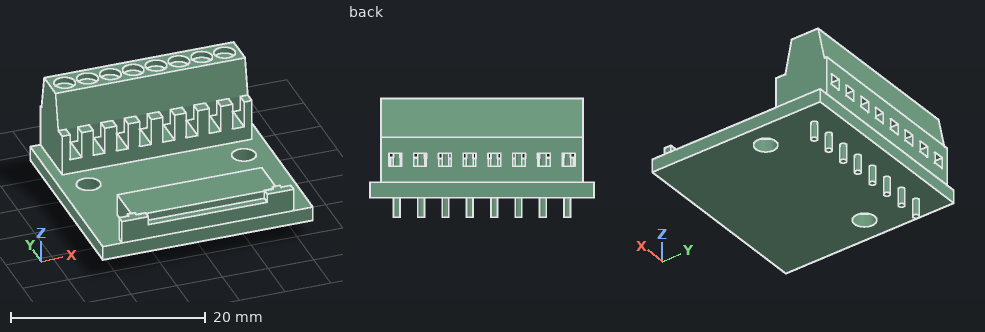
import cadquery as cq


BOARD_WIDTH = 23.0
BOARD_DEPTH = 21.5
BOARD_THICKNESS = 1.6
MOUNT_HOLE_DIAMETER = 2.5
MOUNT_HOLE_SPACING = 17.0
MOUNT_HOLE_Y = 12.3

POLE_COUNT = 8
BLOCK_WIDTH = 20.75
BLOCK_DEPTH = 6.5
BLOCK_HEIGHT = 8.6
SHOULDER_HEIGHT = 4.6
TAPER_BOTTOM_DEPTH = 5.0
TAPER_TOP_DEPTH = 3.4
BACK_LEDGE_DEPTH = 0.3
TAPER_CENTRE_Y = BOARD_DEPTH - BACK_LEDGE_DEPTH - TAPER_BOTTOM_DEPTH / 2
TAPER_FRONT_Y = TAPER_CENTRE_Y - TAPER_BOTTOM_DEPTH / 2
BLOCK_FRONT_Y = BOARD_DEPTH - BLOCK_DEPTH

SLOT_PITCH = 2.54
SLOT_WIDTH = SLOT_PITCH / 2
SLOT_FLOOR_HEIGHT = 1.65
WINDOW_TOP_HEIGHT = 2.95

PIN_PITCH = 2.5
PIN_DIAMETER = 0.7
PIN_PROJECTION = 2.0
WELL_DIAMETER = 2.2
WELL_DEPTH = 0.7

HOUSING_WIDTH = 15.8
HOUSING_HEIGHT = 2.45
HOUSING_BACK_Y = 5.4
LATCH_WIDTH = 18.8
LATCH_THICKNESS = 0.85
LATCH_HEIGHT = 2.55
CABLE_NOTCH_WIDTH = 13.0
CABLE_NOTCH_FLOOR = 1.6
LUG_WIDTH = 0.85
LUG_PROJECTION = 0.4
LUG_OVERLAP = 0.4
LUG_CENTRE_X = HOUSING_WIDTH / 2 - LUG_OVERLAP + LUG_WIDTH / 2


def box(width, y_front, y_back, z_bottom, z_top, x_centre=0.0):
    """Box centred on x_centre, between the given Y and Z limits."""
    size = (width, y_back - y_front, z_top - z_bottom)
    block_at_origin = cq.Workplane("XY").box(*size, centered=(True, False, False))
    return block_at_origin.translate((x_centre, y_front, z_bottom))


def row_positions(pitch):
    """X positions of one feature per pole, centred on the board."""
    return [(i - (POLE_COUNT - 1) / 2) * pitch for i in range(POLE_COUNT)]


def pin_row_cylinders(diameter, z_bottom, z_top):
    """One upright cylinder per pole along the pin row."""
    centres = [(x, TAPER_CENTRE_Y) for x in row_positions(PIN_PITCH)]
    plane = cq.Workplane("XY").workplane(offset=z_bottom)
    return plane.pushPoints(centres).circle(diameter / 2).extrude(z_top - z_bottom)


def make_board():
    board = box(BOARD_WIDTH, 0, BOARD_DEPTH, 0, BOARD_THICKNESS)
    mount_centres = [(side * MOUNT_HOLE_SPACING / 2, MOUNT_HOLE_Y) for side in (-1, 1)]
    mount_circles = cq.Workplane("XY").pushPoints(mount_centres).circle(MOUNT_HOLE_DIAMETER / 2)
    mount_holes = mount_circles.extrude(BOARD_THICKNESS)
    pin_holes = pin_row_cylinders(PIN_DIAMETER, 0, BOARD_THICKNESS)
    return board.cut(mount_holes).cut(pin_holes)


def make_terminal_block():
    shoulder_z = BOARD_THICKNESS + SHOULDER_HEIGHT
    top_z = BOARD_THICKNESS + BLOCK_HEIGHT
    slot_floor_z = BOARD_THICKNESS + SLOT_FLOOR_HEIGHT
    window_top_z = BOARD_THICKNESS + WINDOW_TOP_HEIGHT

    profile = [
        (BLOCK_FRONT_Y, BOARD_THICKNESS),
        (BLOCK_FRONT_Y, shoulder_z),
        (TAPER_FRONT_Y, shoulder_z),
        (TAPER_CENTRE_Y - TAPER_TOP_DEPTH / 2, top_z),
        (TAPER_CENTRE_Y + TAPER_TOP_DEPTH / 2, top_z),
        (TAPER_CENTRE_Y + TAPER_BOTTOM_DEPTH / 2, shoulder_z),
        (BOARD_DEPTH, shoulder_z),
        (BOARD_DEPTH, BOARD_THICKNESS),
    ]
    block = cq.Workplane("YZ").polyline(profile).close().extrude(BLOCK_WIDTH / 2, both=True)
    block = block.cut(pin_row_cylinders(WELL_DIAMETER, top_z - WELL_DEPTH, top_z))

    for x in row_positions(SLOT_PITCH):
        block = block.cut(box(SLOT_WIDTH, BLOCK_FRONT_Y, TAPER_FRONT_Y, slot_floor_z, shoulder_z, x))
        block = block.cut(box(SLOT_WIDTH, BLOCK_FRONT_Y, BOARD_DEPTH, slot_floor_z, window_top_z, x))

    return block.union(pin_row_cylinders(PIN_DIAMETER, -PIN_PROJECTION, window_top_z))


def make_latch():
    top_z = BOARD_THICKNESS + LATCH_HEIGHT
    notch_floor_z = BOARD_THICKNESS + CABLE_NOTCH_FLOOR
    latch = box(LATCH_WIDTH, 0, LATCH_THICKNESS, BOARD_THICKNESS, top_z)
    latch = latch.cut(box(CABLE_NOTCH_WIDTH, 0, LATCH_THICKNESS, notch_floor_z, top_z))
    lug_back_y = LATCH_THICKNESS + LUG_PROJECTION
    for side in (-1, 1):
        latch = latch.union(box(LUG_WIDTH, 0, lug_back_y, BOARD_THICKNESS, top_z, side * LUG_CENTRE_X))
    return latch


def make_connector_housing(latch):
    """Housing behind the latch bar, with its front corners relieved for the lugs."""
    top_z = BOARD_THICKNESS + HOUSING_HEIGHT
    return box(HOUSING_WIDTH, LATCH_THICKNESS, HOUSING_BACK_Y, BOARD_THICKNESS, top_z).cut(latch)


board = make_board()
terminal_block = make_terminal_block()
latch = make_latch()
connector_housing = make_connector_housing(latch)

bodies = [board, terminal_block, connector_housing, latch]
result = cq.Compound.makeCompound([body.solids().val() for body in bodies])